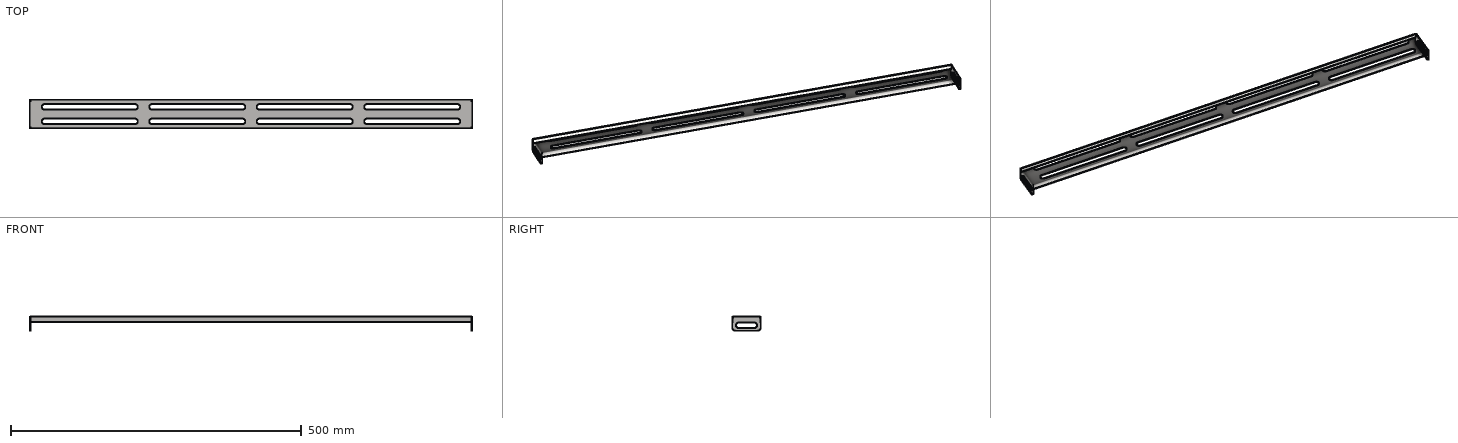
import cadquery as cq

length = 762.0
width = 49.5
height = 25.0

thickness = 1.5
bend_radius = 2.5
inner_bend_radius = bend_radius - thickness
inner_length = length - 2 * thickness
inner_width = width - 2 * thickness
upright_corner_radius = 1.5
side_lip_height = 10.0
tab_corner_radius = 6.0

slot_columns = 4
slot_rows = 2
slot_length = 165.0
slot_width = 9.0
slot_pitch_x = 185.0
slot_pitch_y = 25.0

tab_slot_length = 36.0
tab_slot_width = 9.0
tab_slot_drop = 15.5


def centred_block(size_x, size_y, size_z):
    """Block standing on z = 0, centred on the Z axis."""
    return cq.Workplane("XY").box(size_x, size_y, size_z, centered=(True, True, False))


def make_tray():
    """Inverted tray: a top with four walls folded down to the full height."""
    outside = centred_block(length, width, height).edges("|Z").fillet(upright_corner_radius)
    outside = outside.faces(">Z").edges().fillet(bend_radius)
    inside = centred_block(inner_length, inner_width, height - thickness)
    inside = inside.faces(">Z").edges().fillet(inner_bend_radius)
    return outside.cut(inside)


def trim_side_lips(body):
    """Shorten the two long walls, leaving the end walls as full-height tabs."""
    trim = centred_block(inner_length, width, height - side_lip_height)
    return body.cut(trim)


def round_tab_corners(body):
    """Round the lower corners of both end tabs."""
    profile = centred_block(length, width, height).edges("|X and <Z").fillet(tab_corner_radius)
    return body.intersect(profile)


def cut_top_slots(body):
    """Cut the grid of long slots through the top."""
    slots = (
        cq.Workplane("XY")
        .workplane(offset=height / 2)
        .rarray(slot_pitch_x, slot_pitch_y, slot_columns, slot_rows)
        .slot2D(slot_length, slot_width)
        .extrude(height)
    )
    return body.cut(slots)


def cut_tab_slots(body):
    """Cut one horizontal slot through both end tabs."""
    slot = (
        cq.Workplane("YZ")
        .center(0, height - tab_slot_drop)
        .slot2D(tab_slot_length, tab_slot_width)
        .extrude(length, both=True)
    )
    return body.cut(slot)


tray = trim_side_lips(make_tray())
tray = round_tab_corners(tray)
tray = cut_top_slots(tray)
result = cut_tab_slots(tray)